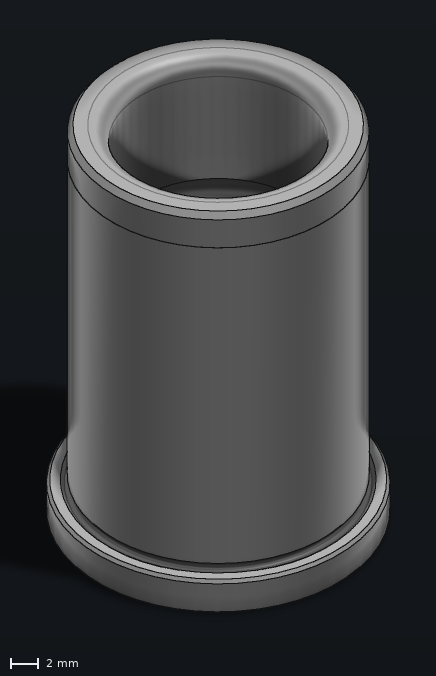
import cadquery as cq
import math

height = 35.0
flange_radius = 12.5
flange_thickness = 3.0
flange_chamfer = 0.25
body_radius = 11.0
lead_in_length = 3.0
lead_in_reduction = 0.01
top_chamfer_width = 0.42
top_chamfer_height = 0.5
bore_radius = 7.98
mouth_radius = 1.5
groove_top = 24.3
oil_groove_radius = 1.25
undercut_setback = 0.5
undercut_wall = 0.28


def outer_body():
    """Revolve the flange, body and reduced lead-in as one solid."""
    lead_radius = body_radius - lead_in_reduction
    lead_start = height - lead_in_length
    return (
        cq.Workplane("XZ")
        .moveTo(0, 0)
        .lineTo(flange_radius - flange_chamfer, 0)
        .lineTo(flange_radius, flange_chamfer)
        .lineTo(flange_radius, flange_thickness - flange_chamfer)
        .lineTo(flange_radius - flange_chamfer, flange_thickness)
        .lineTo(body_radius, flange_thickness)
        .lineTo(body_radius, lead_start)
        .lineTo(lead_radius, lead_start)
        .lineTo(lead_radius, height - top_chamfer_height)
        .lineTo(lead_radius - top_chamfer_width, height)
        .lineTo(0, height)
        .close()
        .revolve(360, (0, 0, 0), (0, 1, 0))
    )


def undercut():
    """Round-bottomed 45 degree groove in the corner of body and flange."""
    upper = (body_radius, flange_thickness + undercut_setback)
    lower = (body_radius + undercut_setback, flange_thickness)
    upper_end = (upper[0] - undercut_wall, upper[1] - undercut_wall)
    lower_end = (lower[0] - undercut_wall, lower[1] - undercut_wall)
    groove_radius = undercut_setback / math.sqrt(2)
    bottom_shift = undercut_wall - undercut_setback / 2 + groove_radius / math.sqrt(2)
    bottom = (body_radius - bottom_shift, flange_thickness - bottom_shift)
    return (
        cq.Workplane("XZ")
        .moveTo(*upper)
        .lineTo(*upper_end)
        .threePointArc(bottom, lower_end)
        .lineTo(*lower)
        .close()
        .revolve(360, (0, 0, 0), (0, 1, 0))
    )


def bore():
    """Through bore with a rounded top mouth and a half-round oil groove."""
    mouth_start = height - mouth_radius
    mouth_center_x = bore_radius + mouth_radius
    arc_offset = mouth_radius / math.sqrt(2)
    return (
        cq.Workplane("XZ")
        .moveTo(0, 0)
        .lineTo(bore_radius, 0)
        .lineTo(bore_radius, groove_top - 2 * oil_groove_radius)
        .threePointArc(
            (bore_radius + oil_groove_radius, groove_top - oil_groove_radius),
            (bore_radius, groove_top),
        )
        .lineTo(bore_radius, mouth_start)
        .threePointArc(
            (mouth_center_x - arc_offset, mouth_start + arc_offset),
            (mouth_center_x, height),
        )
        .lineTo(0, height)
        .close()
        .revolve(360, (0, 0, 0), (0, 1, 0))
    )


result = outer_body().cut(undercut()).cut(bore())